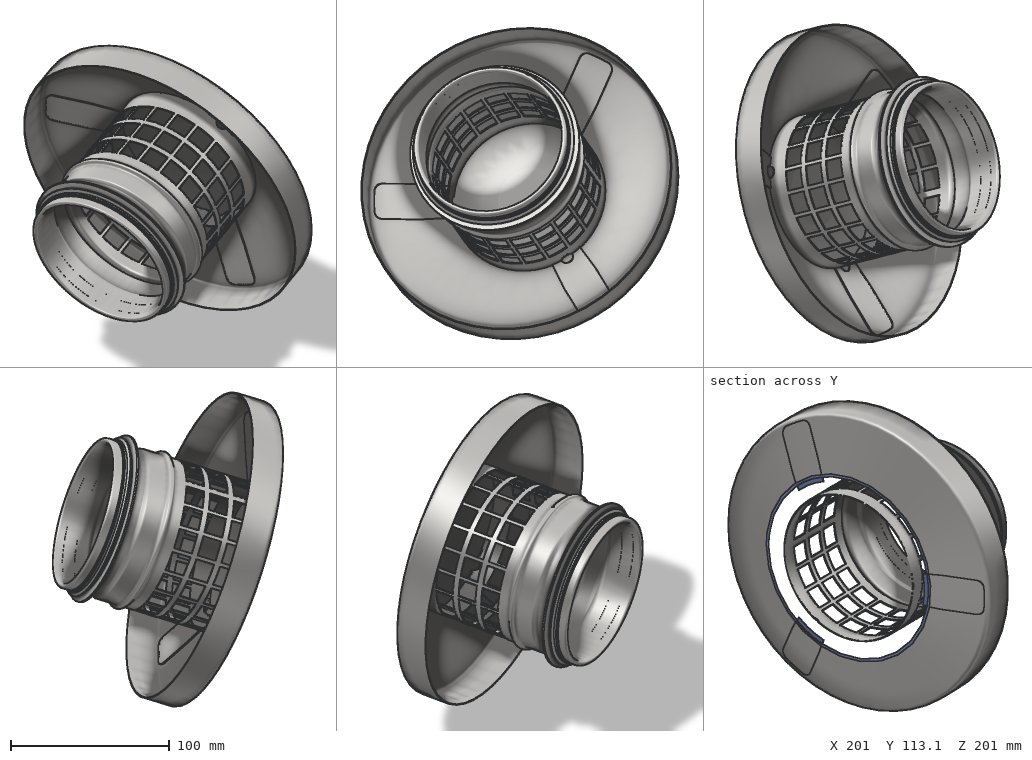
import cadquery as cq
import math


overall_length = 113.1
hood_diameter = 201.0
hood_inner_diameter = 199.8
hood_height = 40.0
hood_slope = math.radians(15.6)
hood_flat_radius = 21.0
hood_crown_radius = 85.0
hood_rim_radius = 3.4

pipe_sheet = 0.8
pipe_diameter = 99.0
neck_diameter = 94.2
bend_radius = 2.0
bead_height = 2.4
bead_middle = 39.2
bead_crown_radius = 1.6
bead_foot_radius = 2.2
bead_flank_angle = math.radians(60)
reducer_middle = 23.35
reducer_angle = math.radians(45)
hem_length = 6.1

window_columns = 20
window_rows = 3
window_length = 12.2
window_pitch = 16.3
first_window = 49.5
window_width = 12.7
column_pitch_angle = 17.86
first_column_angle = 11.0

tab_angles = (60, 180, 300)
tab_tip_radius = 97.0
tab_taper_radius = 69.0
tab_width = 23.6
tab_root_width = 20.6
tab_corner_radius = 5.0
relief_hole_diameter = 8.0

seal_inner_diameter = neck_diameter
seal_body_diameter = 98.05
seal_lips = (
    (109.45, 14.4, 1.2, 1.8),
    (104.45, 10.4, 0.7, 1.8),
)
seal_ridge_diameter = 100.2
seal_ridge_start = 7.1

hood_thickness = (hood_diameter - hood_inner_diameter) / 2
pipe_radius = pipe_diameter / 2
neck_radius = neck_diameter / 2
tab_root_radius = pipe_radius - pipe_sheet
sin_slope = math.sin(hood_slope)
cos_slope = math.cos(hood_slope)


def revolve_about_y(sketch):
    return sketch.revolve(360, (0, 0, 0), (0, 1, 0))




def crown_point(depth, angle):
    radius = hood_crown_radius - depth
    centre_y = overall_length - hood_crown_radius
    return (hood_flat_radius + radius * math.sin(angle), centre_y + radius * math.cos(angle))


def hood_surface_y(depth, radius):
    start_radius, start_y = crown_point(depth, hood_slope)
    return start_y - (radius - start_radius) * math.tan(hood_slope)


def hood_rim_centre():
    radius = hood_diameter / 2 - hood_rim_radius
    y = hood_surface_y(0, radius) - hood_rim_radius / cos_slope
    return radius, y


def rim_point(depth, angle):
    radius, y = hood_rim_centre()
    arc = hood_rim_radius - depth
    return (radius + arc * math.sin(angle), y + arc * math.cos(angle))


def hood_side(depth, open_end):
    cone_direction = (cos_slope, -sin_slope)
    rim_middle = (hood_slope + math.pi / 2) / 2
    return (
        cq.Workplane("XY")
        .moveTo(0, open_end)
        .lineTo(0, overall_length - depth)
        .lineTo(hood_flat_radius, overall_length - depth)
        .spline(
            [crown_point(depth, hood_slope), rim_point(depth, hood_slope)],
            tangents=[(1, 0), cone_direction, cone_direction],
            includeCurrent=True,
        )
        .threePointArc(rim_point(depth, rim_middle), rim_point(depth, math.pi / 2))
        .lineTo(hood_diameter / 2 - depth, open_end)
        .close()
    )


def make_hood():
    skirt_end = overall_length - hood_height
    outside = revolve_about_y(hood_side(0, skirt_end))
    inside = revolve_about_y(hood_side(hood_thickness, skirt_end))
    return outside.cut(inside)




def bead_points(depth):
    both_radii = bead_crown_radius + bead_foot_radius
    slope_height = bead_height - both_radii * (1 - math.cos(bead_flank_angle))
    half_width = both_radii * math.sin(bead_flank_angle) + slope_height / math.tan(bead_flank_angle)
    foot_arc = bead_foot_radius + depth
    crown_arc = bead_crown_radius - depth

    def foot_point(side, angle):
        radius = pipe_radius + bead_foot_radius - foot_arc * math.cos(angle)
        return (radius, bead_middle + side * (half_width - foot_arc * math.sin(angle)))

    def bead_crown_point(angle):
        radius = pipe_radius + bead_height - bead_crown_radius + crown_arc * math.cos(angle)
        return (radius, bead_middle + crown_arc * math.sin(angle))

    return foot_point, bead_crown_point


def reducer_points(depth):
    neck_arc = bend_radius + depth
    pipe_arc = bend_radius - depth
    slope_rise = pipe_radius - neck_radius - 2 * bend_radius * (1 - math.cos(reducer_angle))
    half_length = slope_rise / math.tan(reducer_angle) / 2 + bend_radius * math.sin(reducer_angle)

    def neck_point(angle):
        radius = neck_radius + bend_radius - neck_arc * math.cos(angle)
        return (radius, reducer_middle - half_length + neck_arc * math.sin(angle))

    def pipe_point(angle):
        radius = pipe_radius - bend_radius + pipe_arc * math.cos(angle)
        return (radius, reducer_middle + half_length - pipe_arc * math.sin(angle))

    return neck_point, pipe_point


def pipe_side(depth, far_end):
    foot_point, bead_crown_point = bead_points(depth)
    flank = bead_flank_angle
    neck_point, pipe_point = reducer_points(depth)
    return (
        cq.Workplane("XY")
        .moveTo(0, 0)
        .lineTo(neck_radius - depth, 0)
        .lineTo(*neck_point(0))
        .threePointArc(neck_point(reducer_angle / 2), neck_point(reducer_angle))
        .lineTo(*pipe_point(reducer_angle))
        .threePointArc(pipe_point(reducer_angle / 2), pipe_point(0))
        .lineTo(*foot_point(-1, 0))
        .threePointArc(foot_point(-1, flank / 2), foot_point(-1, flank))
        .lineTo(*bead_crown_point(-flank))
        .threePointArc(bead_crown_point(0), bead_crown_point(flank))
        .lineTo(*foot_point(1, flank))
        .threePointArc(foot_point(1, flank / 2), foot_point(1, 0))
        .lineTo(pipe_radius - depth, far_end)
        .lineTo(0, far_end)
        .close()
    )


def make_hem():
    inner = neck_radius - pipe_sheet
    roll = (pipe_radius - inner) / 2
    roll_middle = (pipe_radius + inner) / 2
    roll_inner = roll - pipe_sheet
    hem = revolve_about_y(
        cq.Workplane("XY")
        .moveTo(inner, roll)
        .threePointArc((roll_middle, 0), (pipe_radius, roll))
        .lineTo(pipe_radius, hem_length)
        .lineTo(pipe_radius - pipe_sheet, hem_length)
        .lineTo(pipe_radius - pipe_sheet, roll)
        .threePointArc((roll_middle, roll - roll_inner), (neck_radius, roll))
        .close()
    )
    return hem, roll


def make_windows():
    windows = []
    for row in range(window_rows):
        middle = first_window + row * window_pitch + window_length / 2
        window = cq.Workplane("XY").box(pipe_radius, window_length, window_width)
        window = window.translate((pipe_radius, middle, 0))
        for column in range(window_columns):
            angle = first_column_angle + column * column_pitch_angle
            windows.append(window.rotate((0, 0, 0), (0, 1, 0), -angle).val())
    return cq.Workplane(cq.Compound.makeCompound(windows))


pipe_end = hood_surface_y(hood_thickness, tab_root_radius)


def make_tab_outline():
    half_root = tab_root_width / 2
    half_width = tab_width / 2
    root = math.sqrt(tab_root_radius**2 - half_root**2)
    tip_corner = math.sqrt(tab_tip_radius**2 - half_width**2)
    return (
        cq.Workplane("XZ", origin=(0, overall_length, 0))
        .moveTo(root, half_root)
        .lineTo(tab_taper_radius, half_width)
        .lineTo(tip_corner, half_width)
        .threePointArc((tab_tip_radius, 0), (tip_corner, -half_width))
        .lineTo(tab_taper_radius, -half_width)
        .lineTo(root, -half_root)
        .close()
        .extrude(hood_height)
        .edges("|Y")
        .edges(">X")
        .fillet(tab_corner_radius)
    )


def make_tab():
    sheet_drop = pipe_sheet / cos_slope
    outer_y = hood_surface_y(hood_thickness, tab_tip_radius)
    sheet = revolve_about_y(
        cq.Workplane("XY")
        .moveTo(tab_root_radius, pipe_end)
        .lineTo(tab_tip_radius, outer_y)
        .lineTo(tab_tip_radius, outer_y - sheet_drop)
        .lineTo(tab_root_radius, pipe_end - sheet_drop)
        .close()
    )
    return sheet.intersect(make_tab_outline())


def make_relief_hole():
    across_tab = (
        cq.Workplane("XZ", origin=(pipe_radius, overall_length, 0))
        .circle(relief_hole_diameter / 2)
        .extrude(hood_height)
    )
    across_wall = (
        cq.Workplane("YZ", origin=(neck_radius, pipe_end, 0))
        .circle(relief_hole_diameter / 2)
        .extrude(pipe_radius - neck_radius + pipe_sheet)
    )
    return across_tab, across_wall


def make_pipe():
    outside = revolve_about_y(pipe_side(0, pipe_end))
    wall = outside.cut(revolve_about_y(pipe_side(pipe_sheet, pipe_end)))
    hem, roll = make_hem()
    mouth = cq.Workplane("XZ").circle(neck_radius).extrude(-roll)
    pipe = wall.cut(mouth).cut(make_windows()).union(hem)
    tab = make_tab()
    across_tab, across_wall = make_relief_hole()
    for angle in tab_angles:
        turn = ((0, 0, 0), (0, 1, 0), -angle)
        pipe = pipe.union(tab.cut(across_tab).rotate(*turn))
        pipe = pipe.cut(across_wall.rotate(*turn))
    return pipe




def make_seal():
    ridge_radius = seal_ridge_diameter / 2
    body = seal_body_diameter / 2
    (d1, y1, tip1, root1), (d2, y2, tip2, root2) = seal_lips
    return revolve_about_y(
        cq.Workplane("XY")
        .moveTo(seal_inner_diameter / 2, y1)
        .lineTo(d1 / 2, y1)
        .lineTo(d1 / 2, y1 - tip1)
        .lineTo(body, y1 - root1)
        .lineTo(body, y2)
        .lineTo(d2 / 2, y2)
        .lineTo(d2 / 2, y2 - tip2)
        .lineTo(ridge_radius, y2 - root2)
        .lineTo(ridge_radius, seal_ridge_start)
        .lineTo(body, seal_ridge_start)
        .lineTo(body, hem_length)
        .lineTo(seal_inner_diameter / 2, hem_length)
        .close()
    )


hood = make_hood()
pipe = make_pipe()
seal = make_seal()
result = cq.Compound.makeCompound([hood.val(), *pipe.vals(), seal.val()])